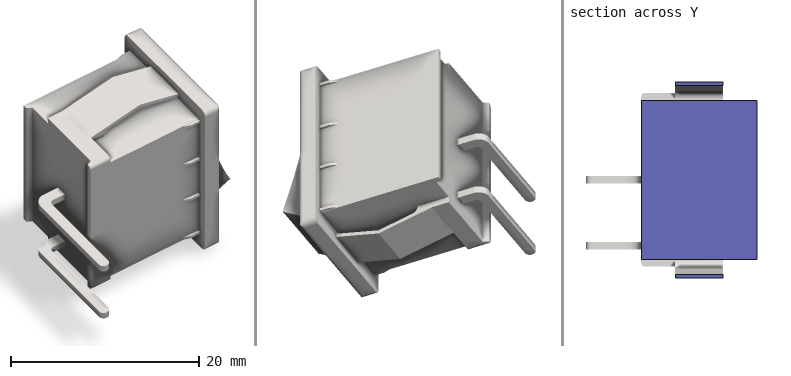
import cadquery as cq
import math


OVERALL_WIDTH = 19.4
OVERALL_DEPTH = 22.1
OVERALL_HEIGHT = 21.07

BEZEL_WIDTH = 14.84
BEZEL_HEIGHT = 20.72
BEZEL_THICKNESS = 2.05
BEZEL_CORNER_RADIUS = 0.65
BEZEL_FRONT_RADIUS = 0.53

BODY_WIDTH = 12.32
BODY_HEIGHT = 16.98
BODY_DEPTH = 14.02
BACK_RECESS_DEPTH = 0.6
RIM_TIP_THICKNESS = 0.5
RIM_ROOT_THICKNESS = 0.8

BLOCK_HEIGHT = 18.45
BLOCK_LENGTH = 2.6
BLOCK_CORNER_RADIUS = 0.42

CLIP_WIDTH = 5.09
CLIP_APEX_DISTANCE = 5.05
CLIP_THICKNESS = 0.42
CLIP_FRONT_HEIGHT = 9.3
CLIP_GAP_LENGTH = 9.68
CLIP_ARC_LENGTH = 0.62

RIB_HEIGHT = 0.3
RIB_PROJECTION = 0.3
RIB_FLAT_LENGTH = 1.15
RIB_LENGTH = 2.03
RIB_POSITIONS = (-8.3, -2.68, 2.68, 8.3)

ROCKER_TILT = 15.0
ROCKER_LENGTH = 13.1
ROCKER_WIDTH = 9.97
ROCKER_END_WIDTH = 8.45
ROCKER_FACE_SAG = 0.8
ROCKER_DEPTH = 4.42
ROCKER_CENTRE_Z = 1.13

TERMINAL_THICKNESS = 0.8
TERMINAL_LEG_WIDTH = 1.24
TERMINAL_ARM_WIDTH = 1.17
TERMINAL_OUTER_Y = -16.58
TERMINAL_OUTER_RADIUS = 1.2
TERMINAL_INNER_RADIUS = 0.45
TERMINAL_POSITIONS = (0.0, -7.0)

BODY_SIDE = BODY_WIDTH / 2
BODY_TOP = BODY_HEIGHT / 2
BLOCK_TOP = BLOCK_HEIGHT / 2
BLOCK_FRONT_Y = BLOCK_LENGTH - BODY_DEPTH
BACK_FACE_Y = BACK_RECESS_DEPTH - BODY_DEPTH
CLIP_APEX_HEIGHT = OVERALL_HEIGHT / 2
ROCKER_TIP_Y = OVERALL_DEPTH + TERMINAL_OUTER_Y
ROCKER_CENTRE_Y = ROCKER_TIP_Y - ROCKER_LENGTH / 2 * math.sin(math.radians(ROCKER_TILT))
TERMINAL_REACH = OVERALL_WIDTH - BEZEL_WIDTH / 2


def make_bezel():
    """Plate whose front edges are rounded and mitred, with rounded corners cut through them."""
    plate = cq.Workplane("XY").box(
        BEZEL_WIDTH, BEZEL_THICKNESS, BEZEL_HEIGHT, centered=(True, False, True)
    )
    rounded_front = plate.faces(">Y").edges().fillet(BEZEL_FRONT_RADIUS)
    rounded_corners = plate.edges("|Y").fillet(BEZEL_CORNER_RADIUS)
    return rounded_front.intersect(rounded_corners)


def make_body():
    """Box with a taller block at its back and a recess between two side rims."""
    box = (
        cq.Workplane("XY")
        .box(BODY_WIDTH, BODY_DEPTH, BODY_HEIGHT, centered=(True, False, True))
        .translate((0, -BODY_DEPTH, 0))
    )
    block_left = -CLIP_WIDTH / 2
    block = (
        cq.Workplane("XY")
        .box(BODY_SIDE - block_left, BLOCK_LENGTH, BLOCK_HEIGHT, centered=(False, False, True))
        .translate((block_left, -BODY_DEPTH, 0))
        .edges("|Y and >X")
        .fillet(BLOCK_CORNER_RADIUS)
    )
    tip_x = BODY_SIDE - RIM_TIP_THICKNESS
    root_x = BODY_SIDE - RIM_ROOT_THICKNESS
    recess = (
        cq.Workplane("XY")
        .moveTo(-tip_x, -BODY_DEPTH)
        .lineTo(-root_x, BACK_FACE_Y)
        .lineTo(root_x, BACK_FACE_Y)
        .lineTo(tip_x, -BODY_DEPTH)
        .close()
        .extrude(BLOCK_TOP, both=True)
    )
    return box.union(block).cut(recess)


def make_upper_clip():
    """Bent strip from the bezel over an apex to the block, with a solid foot."""
    apex_y = -CLIP_APEX_DISTANCE
    back_slope = (CLIP_APEX_HEIGHT - BLOCK_TOP) / (apex_y - BLOCK_FRONT_Y)
    arc_start_y = CLIP_ARC_LENGTH - CLIP_GAP_LENGTH
    inner_apex_z = CLIP_APEX_HEIGHT - CLIP_THICKNESS
    arc_start_z = inner_apex_z - back_slope * (apex_y - arc_start_y)
    return (
        cq.Workplane("YZ")
        .moveTo(0, CLIP_FRONT_HEIGHT)
        .lineTo(0, CLIP_FRONT_HEIGHT - CLIP_THICKNESS)
        .lineTo(apex_y, inner_apex_z)
        .lineTo(arc_start_y, arc_start_z)
        .tangentArcPoint((-CLIP_GAP_LENGTH, BODY_TOP), relative=False)
        .lineTo(BLOCK_FRONT_Y, BODY_TOP)
        .lineTo(BLOCK_FRONT_Y, BLOCK_TOP)
        .lineTo(apex_y, CLIP_APEX_HEIGHT)
        .close()
        .extrude(CLIP_WIDTH / 2, both=True)
    )


def make_rib(height_position):
    """Rib on the +X wall: flat next to the bezel, then sloping into the wall."""
    rib_x = BODY_SIDE + RIB_PROJECTION
    return (
        cq.Workplane("XY")
        .polyline([(BODY_SIDE, 0), (rib_x, 0), (rib_x, -RIB_FLAT_LENGTH), (BODY_SIDE, -RIB_LENGTH)])
        .close()
        .extrude(RIB_HEIGHT / 2, both=True)
        .translate((0, 0, height_position))
    )


def make_rocker():
    """Rocker with a hollowed face, flared ends and bulging sides, tilted about X."""
    half_length = ROCKER_LENGTH / 2
    base_half_length = half_length + ROCKER_DEPTH * math.tan(math.radians(ROCKER_TILT))
    rocker = (
        cq.Workplane("YZ")
        .moveTo(0, -half_length)
        .threePointArc((-ROCKER_FACE_SAG, 0), (0, half_length))
        .lineTo(-ROCKER_DEPTH, base_half_length)
        .lineTo(-ROCKER_DEPTH, -base_half_length)
        .close()
        .extrude(ROCKER_WIDTH / 2, both=True)
    )
    bulge = (ROCKER_WIDTH - ROCKER_END_WIDTH) / 2
    side_radius = (half_length ** 2 + bulge ** 2) / (2 * bulge)
    side_centre = ROCKER_WIDTH / 2 - side_radius
    for side in (-1, 1):
        cylinder = (
            cq.Workplane("XZ")
            .center(side * side_centre, 0)
            .circle(side_radius)
            .extrude(ROCKER_DEPTH, both=True)
        )
        rocker = rocker.intersect(cylinder)
    return rocker.rotate((0, 0, 0), (1, 0, 0), ROCKER_TILT).translate((0, ROCKER_CENTRE_Y, ROCKER_CENTRE_Z))


def make_housing():
    """Bezel, body, clips, ribs and rocker as one solid."""
    upper_clip = make_upper_clip()
    housing = make_bezel().union(make_body())
    housing = housing.union(upper_clip).union(upper_clip.mirror("XY"))
    for height_position in RIB_POSITIONS:
        rib = make_rib(height_position)
        housing = housing.union(rib).union(rib.mirror("YZ"))
    return housing.union(make_rocker())


def make_terminal(height_position):
    """L-shaped strip from the back face, bent towards +X, with a round tip."""
    leg_side = TERMINAL_LEG_WIDTH / 2
    arm_inner_y = TERMINAL_OUTER_Y + TERMINAL_ARM_WIDTH
    strip = (
        cq.Workplane("XY")
        .moveTo(-leg_side, BACK_FACE_Y)
        .lineTo(-leg_side, TERMINAL_OUTER_Y)
        .lineTo(TERMINAL_REACH - TERMINAL_ARM_WIDTH / 2, TERMINAL_OUTER_Y)
        .tangentArcPoint((0, TERMINAL_ARM_WIDTH))
        .lineTo(leg_side, arm_inner_y)
        .lineTo(leg_side, BACK_FACE_Y)
        .close()
        .extrude(TERMINAL_THICKNESS / 2, both=True)
    )
    outer_corner = cq.selectors.NearestToPointSelector((-leg_side, TERMINAL_OUTER_Y, 0))
    inner_corner = cq.selectors.NearestToPointSelector((leg_side, arm_inner_y, 0))
    strip = strip.edges("|Z").edges(outer_corner).fillet(TERMINAL_OUTER_RADIUS)
    strip = strip.edges("|Z").edges(inner_corner).fillet(TERMINAL_INNER_RADIUS)
    return strip.translate((0, 0, height_position))


housing = make_housing()
terminals = [make_terminal(height_position).val() for height_position in TERMINAL_POSITIONS]

result = cq.Compound.makeCompound([housing.val(), *terminals])